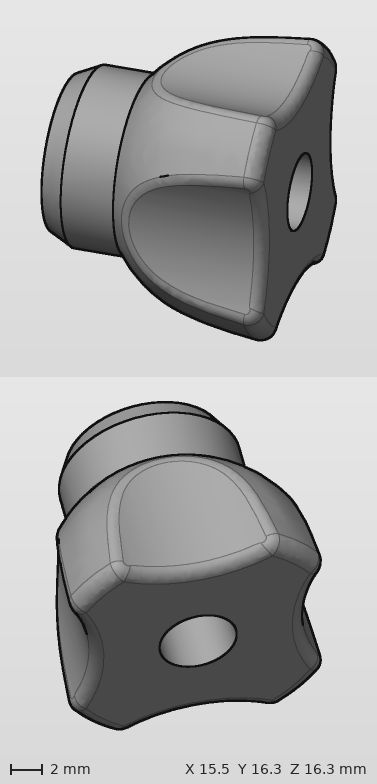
import cadquery as cq
import math

total_length = 15.5
collar_chamfer_length = 1.53
collar_length = 5.02

collar_diameter = 11.8
collar_nose_diameter = 10.3
bore_diameter = 5.0

head_curve = [(5.83, 6.76), (7.6, 8.06), (8.96, 8.67), (11.68, 9.33)]
rim_radius = 9.8

scallop_count = 4
scallop_radius = 9.94
scallop_floor_start = 7.02
scallop_start = 6.19
scallop_lean = 0.8
cutter_overrun = 4.89

rim_fillet = 0.98
scallop_fillet = 0.8


def make_blank():
    """Collar and head revolved about the X axis, without the bore."""
    profile = (
        cq.Workplane("XY")
        .lineTo(0, collar_nose_diameter / 2)
        .lineTo(collar_chamfer_length, collar_diameter / 2)
        .lineTo(collar_length, collar_diameter / 2)
        .spline(head_curve + [(total_length, rim_radius)], includeCurrent=True)
        .lineTo(total_length, 0)
        .close()
    )
    return profile.revolve(360, (0, 0, 0), (1, 0, 0))


def make_scallop_cutter():
    """Cylinder above the head whose lowest line is the scallop floor."""
    lean = math.radians(scallop_lean)
    direction = cq.Vector(math.cos(lean), 0, -math.sin(lean))
    outward = cq.Vector(math.sin(lean), 0, math.cos(lean))
    floor_point = cq.Vector(scallop_start, 0, scallop_floor_start)
    base = floor_point + outward * scallop_radius - direction * cutter_overrun
    length = total_length - scallop_start + 2 * cutter_overrun
    return cq.Workplane(obj=cq.Solid.makeCylinder(scallop_radius, length, base, direction))


head = make_blank().faces(">X").edges().fillet(rim_fillet)
cutter = make_scallop_cutter()
for index in range(scallop_count):
    turn = index * 360 / scallop_count
    head = head.cut(cutter.rotate((0, 0, 0), (1, 0, 0), turn))

head_region = cq.selectors.BoxSelector(
    (collar_length, -rim_radius, -rim_radius),
    (total_length, rim_radius, rim_radius),
)
scallop_faces = head.faces(cq.selectors.AndSelector(cq.selectors.TypeSelector("CYLINDER"), head_region))
head = scallop_faces.edges().fillet(scallop_fillet)

bore = cq.Workplane("YZ").circle(bore_diameter / 2).extrude(total_length)
result = head.cut(bore)